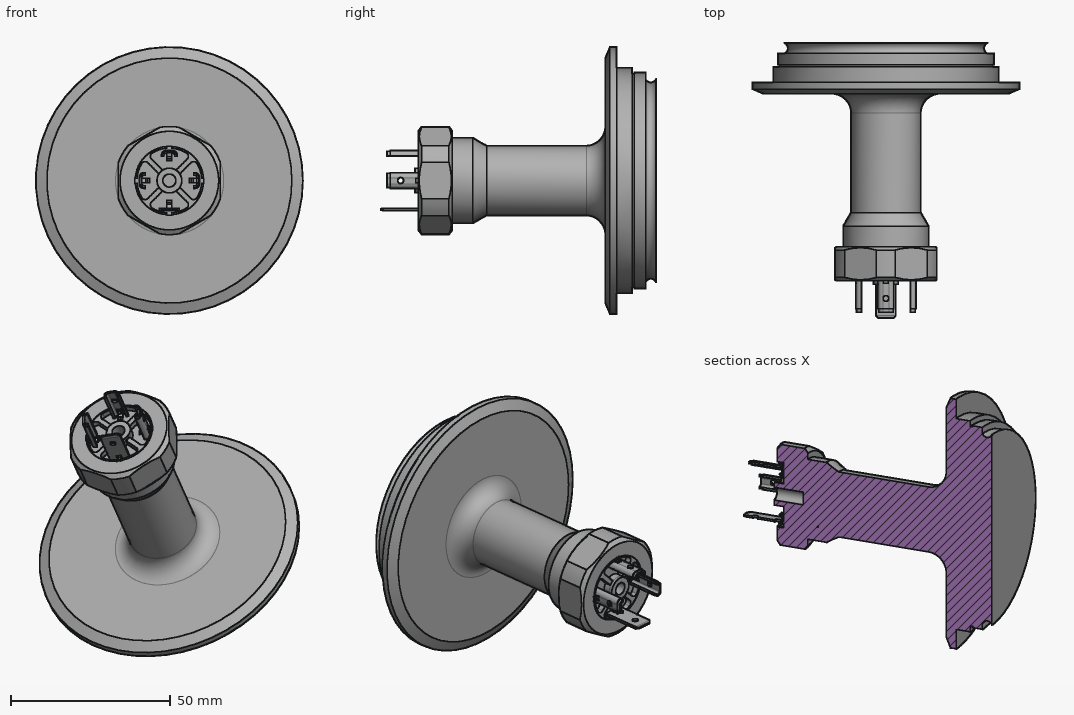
import cadquery as cq
import math


RIM_RADIUS = 64 / 2
RIM_FRONT_RADIUS = 31.8
RIM_DEPTH = 3.25
GROOVE_RADIUS = 30.9
SEAT_RADIUS = 68 / 2
SEAT_DEPTH = 6.8
RELIEF_RADIUS = 33.6
RELIEF_DEPTH = 7.5
DISC_RADIUS = 71 / 2
DISC_DEPTH = 12.4
FLANGE_RADIUS = 84 / 2
FLANGE_EDGE_DEPTH = 14.5
FLANGE_DEPTH = 16.0
FLANGE_FACE_RADIUS = 77 / 2

NECK_RADIUS = 22 / 2
NECK_DEPTH = 53.3
NECK_FILLET = 6.0
COLLAR_RADIUS = 27 / 2
COLLAR_CONE_DEPTH = 57.6

NUT_BACK_DEPTH = 64.0
NUT_FACE_DEPTH = 74.8
NUT_FLATS = 32.0
NUT_CORNER_RADIUS = 34 / 2
NUT_FACE_RADIUS = 31 / 2
NUT_CHAMFER_LENGTH = 1.1

CARRIER_RADIUS = 21.5 / 2
CARRIER_RECESS = 0.1
POCKET_RADIUS = 10.2
POCKET_DEPTH = 2.2
POCKET_CORNER_FILLET = 1.2
RIB_WIDTH = 1.64
HUB_RADIUS = 7.8 / 2
HUB_PROJECTION = 1.05
HUB_HOLE_RADIUS = 4.1 / 2
HUB_HOLE_LENGTH = 10.0
KEYWAY_WIDTH = 1.6
KEYWAY_RADIUS = 10.85

PLATE_THICKNESS = 0.8
PLATE_OUTER = 9.47
PLATE_INNER = PLATE_OUTER - PLATE_THICKNESS
CONTACT_HOLE_RADIUS = 1.8 / 2
CONTACT_ROOT = 0.5
PIN_HOLE_OFFSET = 5.5
BLADE_HOLE_OFFSET = 7.6
PIN_WIDTH = 5.0
PIN_LEG_END = 7.65
PIN_CURL_RADIUS = 1.57
PIN_LENGTH = 9.85
PIN_TIP_LENGTH = 1.05
PIN_TIP_STEP = 0.2
PIN_ANGLES = (0, 90, 180)
BLADE_ANGLE = 270
BLADE_WIDTH = 6.3
BLADE_TIP_DEPTH = 86.5
BLADE_CORNER_CHAMFER = 0.75
BLADE_BEVEL_LENGTH = 0.95
BLADE_BEVEL_HEIGHT = 0.15
TAB_WIDTH = 1.5
TAB_THICKNESS = 0.35
WINDOW_PROJECTION = 0.75
TAB_ROOT_DEPTH = 1.2
TAB_VALLEY = (7.5, 1.7)
TAB_PEAK = (6.8, 0.7)
TAB_END = (6.2, 1.3)

FLOOR_DEPTH = NUT_FACE_DEPTH - POCKET_DEPTH


def plane_at(depth):
    """Plane across the axis, facing -Y; local x is X and local y is Z."""
    return cq.Workplane("XZ", origin=(0, -depth, 0))


def make_turned_body():
    groove_middle = (GROOVE_RADIUS, -RIM_DEPTH / 2)
    fillet_center_radius = NECK_RADIUS + NECK_FILLET
    fillet_end_depth = FLANGE_DEPTH + NECK_FILLET
    fillet_drop = NECK_FILLET * math.sin(math.radians(45))
    fillet_middle = (fillet_center_radius - fillet_drop, -(fillet_end_depth - fillet_drop))
    return (
        cq.Workplane("XY")
        .lineTo(RIM_RADIUS, 0)
        .threePointArc(groove_middle, (RIM_FRONT_RADIUS, -RIM_DEPTH))
        .lineTo(SEAT_RADIUS, -RIM_DEPTH)
        .lineTo(SEAT_RADIUS, -SEAT_DEPTH)
        .lineTo(RELIEF_RADIUS, -SEAT_DEPTH)
        .lineTo(RELIEF_RADIUS, -RELIEF_DEPTH)
        .lineTo(DISC_RADIUS, -RELIEF_DEPTH)
        .lineTo(DISC_RADIUS, -DISC_DEPTH)
        .lineTo(FLANGE_RADIUS, -DISC_DEPTH)
        .lineTo(FLANGE_RADIUS, -FLANGE_EDGE_DEPTH)
        .lineTo(FLANGE_FACE_RADIUS, -FLANGE_DEPTH)
        .lineTo(fillet_center_radius, -FLANGE_DEPTH)
        .threePointArc(fillet_middle, (NECK_RADIUS, -fillet_end_depth))
        .lineTo(NECK_RADIUS, -NECK_DEPTH)
        .lineTo(COLLAR_RADIUS, -COLLAR_CONE_DEPTH)
        .lineTo(COLLAR_RADIUS, -NUT_BACK_DEPTH)
        .lineTo(0, -NUT_BACK_DEPTH)
        .close()
        .revolve(360, (0, 0, 0), (0, 1, 0))
    )


def make_nut():
    """Hexagon with flats facing +X and -X, its corners turned and chamfered."""
    across_corners = NUT_FLATS / math.cos(math.radians(30))
    hexagon = (
        plane_at(NUT_BACK_DEPTH)
        .transformed(rotate=(0, 0, 30))
        .polygon(6, across_corners)
        .extrude(NUT_FACE_DEPTH - NUT_BACK_DEPTH)
    )
    turned_blank = (
        cq.Workplane("XY")
        .moveTo(0, -NUT_BACK_DEPTH)
        .lineTo(NUT_FACE_RADIUS, -NUT_BACK_DEPTH)
        .lineTo(NUT_CORNER_RADIUS, -NUT_BACK_DEPTH - NUT_CHAMFER_LENGTH)
        .lineTo(NUT_CORNER_RADIUS, -NUT_FACE_DEPTH + NUT_CHAMFER_LENGTH)
        .lineTo(NUT_FACE_RADIUS, -NUT_FACE_DEPTH)
        .lineTo(0, -NUT_FACE_DEPTH)
        .close()
        .revolve(360, (0, 0, 0), (0, 1, 0))
    )
    return hexagon.intersect(turned_blank)


def rib_side_point(radius, side):
    """Where the side of a diagonal rib meets a circle; side is +1 or -1 in Z."""
    angle = math.radians(45) - math.asin(RIB_WIDTH / 2 / radius)
    return (radius * math.cos(angle), side * radius * math.sin(angle))


def make_pocket():
    """Quarter pocket on the +X side between two diagonal ribs, with its keyway."""
    pocket = (
        plane_at(FLOOR_DEPTH)
        .moveTo(*rib_side_point(HUB_RADIUS, -1))
        .lineTo(*rib_side_point(POCKET_RADIUS, -1))
        .threePointArc((POCKET_RADIUS, 0), rib_side_point(POCKET_RADIUS, 1))
        .lineTo(*rib_side_point(HUB_RADIUS, 1))
        .threePointArc((HUB_RADIUS, 0), rib_side_point(HUB_RADIUS, -1))
        .close()
        .extrude(POCKET_DEPTH)
        .edges("|Y").edges(">X")
        .fillet(POCKET_CORNER_FILLET)
    )
    keyway = (
        plane_at(FLOOR_DEPTH)
        .moveTo((HUB_RADIUS + KEYWAY_RADIUS) / 2, 0)
        .rect(KEYWAY_RADIUS - HUB_RADIUS, KEYWAY_WIDTH)
        .extrude(POCKET_DEPTH)
    )
    key_limit = plane_at(FLOOR_DEPTH).circle(KEYWAY_RADIUS).circle(HUB_RADIUS).extrude(POCKET_DEPTH)
    return pocket.union(keyway.intersect(key_limit))


def make_carrier_recess():
    return plane_at(NUT_FACE_DEPTH - CARRIER_RECESS).circle(CARRIER_RADIUS).extrude(CARRIER_RECESS)


def make_hub():
    return plane_at(FLOOR_DEPTH).circle(HUB_RADIUS).extrude(POCKET_DEPTH + HUB_PROJECTION)


def make_hub_hole():
    hub_face_depth = NUT_FACE_DEPTH + HUB_PROJECTION
    return plane_at(hub_face_depth - HUB_HOLE_LENGTH).circle(HUB_HOLE_RADIUS).extrude(HUB_HOLE_LENGTH)


def make_curl(inset, start_depth, length):
    """Rounded channel open toward the axis; inset shrinks its outer surface."""
    outer_half = PIN_WIDTH / 2 - inset
    outer_top = PLATE_OUTER - inset
    inner_half = PIN_WIDTH / 2 - PLATE_THICKNESS
    outer = (
        plane_at(start_depth)
        .moveTo((PIN_LEG_END + outer_top) / 2, 0)
        .rect(outer_top - PIN_LEG_END, 2 * outer_half)
        .extrude(length)
        .edges("|Y").edges(">X")
        .fillet(PIN_CURL_RADIUS - inset)
    )
    inner = (
        plane_at(start_depth)
        .moveTo((PIN_LEG_END + PLATE_INNER) / 2, 0)
        .rect(PLATE_INNER - PIN_LEG_END, 2 * inner_half)
        .extrude(length)
        .edges("|Y").edges(">X")
        .fillet(PIN_CURL_RADIUS - PLATE_THICKNESS)
    )
    return outer.cut(inner)


def cut_plate_openings(contact, hole_offset):
    """Cross hole in the exposed length and the window left by the bent tab."""
    hole = (
        cq.Workplane("YZ", origin=(PIN_LEG_END, 0, 0))
        .moveTo(-NUT_FACE_DEPTH - hole_offset, 0)
        .circle(CONTACT_HOLE_RADIUS)
        .extrude(PLATE_OUTER)
    )
    window_length = WINDOW_PROJECTION + TAB_ROOT_DEPTH
    window = (
        cq.Workplane("XY")
        .box(PLATE_OUTER - PIN_LEG_END, window_length, TAB_WIDTH, centered=(False, False, True))
        .translate((PIN_LEG_END, -NUT_FACE_DEPTH - WINDOW_PROJECTION, 0))
    )
    return contact.cut(hole).cut(window)


def make_tab():
    """Zigzag spring tab reaching from the plate toward the axis."""
    root = (PLATE_OUTER - PLATE_THICKNESS / 2, TAB_ROOT_DEPTH)
    bends = (root, TAB_VALLEY, TAB_PEAK, TAB_END)
    front = [(radius, sink - NUT_FACE_DEPTH) for radius, sink in bends]
    back = [(radius, y + TAB_THICKNESS) for radius, y in reversed(front)]
    return (
        cq.Workplane("XY", origin=(0, 0, -TAB_WIDTH / 2))
        .polyline(front + back)
        .close()
        .extrude(TAB_WIDTH)
    )


def make_pin():
    root_depth = FLOOR_DEPTH - CONTACT_ROOT
    shoulder_depth = NUT_FACE_DEPTH + PIN_LENGTH - PIN_TIP_LENGTH
    body = make_curl(0, root_depth, shoulder_depth - root_depth)
    tip = make_curl(PIN_TIP_STEP, shoulder_depth, PIN_TIP_LENGTH)
    return cut_plate_openings(body.union(tip), PIN_HOLE_OFFSET).union(make_tab())


def make_blade():
    root_depth = FLOOR_DEPTH - CONTACT_ROOT
    plate = (
        cq.Workplane("YZ", origin=(PLATE_INNER, 0, 0))
        .moveTo(-(root_depth + BLADE_TIP_DEPTH) / 2, 0)
        .rect(BLADE_TIP_DEPTH - root_depth, BLADE_WIDTH)
        .extrude(PLATE_THICKNESS)
        .edges("|X and <Y")
        .chamfer(BLADE_CORNER_CHAMFER)
    )
    side_profile = (
        cq.Workplane("XY", origin=(0, 0, -BLADE_WIDTH / 2))
        .moveTo(PLATE_INNER, -root_depth)
        .lineTo(PLATE_INNER, -BLADE_TIP_DEPTH + BLADE_BEVEL_LENGTH)
        .lineTo(PLATE_INNER + BLADE_BEVEL_HEIGHT, -BLADE_TIP_DEPTH)
        .lineTo(PLATE_OUTER - BLADE_BEVEL_HEIGHT, -BLADE_TIP_DEPTH)
        .lineTo(PLATE_OUTER, -BLADE_TIP_DEPTH + BLADE_BEVEL_LENGTH)
        .lineTo(PLATE_OUTER, -root_depth)
        .close()
        .extrude(BLADE_WIDTH)
    )
    blade = plate.intersect(side_profile)
    return cut_plate_openings(blade, BLADE_HOLE_OFFSET).union(make_tab())


def turn_about_axis(shape, angle):
    """Move a shape built on the +X side to an angle counted from +X toward +Z."""
    return shape.rotate((0, 0, 0), (0, -1, 0), angle)


result = make_turned_body().union(make_nut())
result = result.cut(make_carrier_recess())
for pocket_angle in (*PIN_ANGLES, BLADE_ANGLE):
    result = result.cut(turn_about_axis(make_pocket(), pocket_angle))
result = result.union(make_hub()).cut(make_hub_hole())
for pin_angle in PIN_ANGLES:
    result = result.union(turn_about_axis(make_pin(), pin_angle))
result = result.union(turn_about_axis(make_blade(), BLADE_ANGLE))